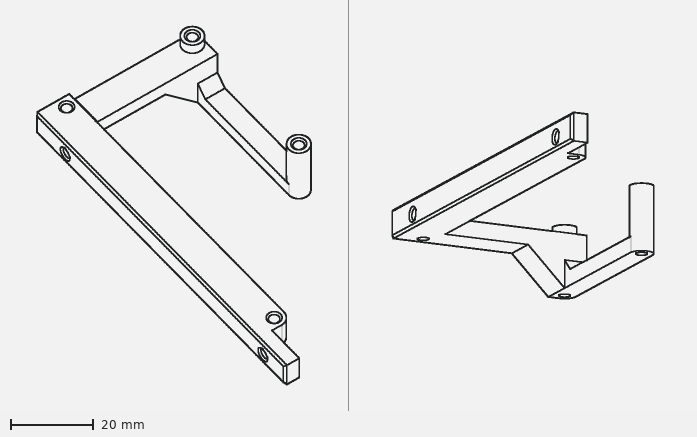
import cadquery as cq

length = 101.0
depth = 48.2
height = 17.0

boss_diameter = 6.0
boss_radius = boss_diameter / 2
hole_diameter = 2.8
mouth_chamfer = 0.5
hole_row_spacing = 38.0
rear_hole_y = depth - boss_radius
front_hole_y = rear_hole_y - hole_row_spacing
left_hole_x = boss_radius
far_boss_x = 46.1
bar_end_hole_x = 87.0

bar_height = 7.2
bar_bottom = height - bar_height
bar_back = front_hole_y + boss_radius
bar_shoulder_x = bar_end_hole_x + boss_radius
tongue_back = 4.3
front_chamfer = 0.6
mount_hole_xs = (12.0, 92.0)
mount_hole_z = height - 4.0

side_arm_width = 9.2
side_arm_top = height - 3.0
ramp_size = 1.7
low_arm_height = 4.0
gusset_leg = 3.0


def upright_cylinder(x, y, diameter, bottom, top):
    return cq.Workplane("XY", origin=(x, y, bottom)).circle(diameter / 2).extrude(top - bottom)


def make_bar():
    """Long bar with a rounded shoulder, a thin tongue and a chamfered front face."""
    bar = (
        cq.Workplane("XY", origin=(0, 0, bar_bottom))
        .moveTo(0, 0)
        .lineTo(length, 0)
        .lineTo(length, tongue_back)
        .lineTo(bar_shoulder_x, tongue_back)
        .lineTo(bar_shoulder_x, front_hole_y)
        .radiusArc((bar_end_hole_x, bar_back), -boss_radius)
        .lineTo(0, bar_back)
        .close()
        .extrude(bar_height)
    )
    return bar.faces("<Y").chamfer(front_chamfer)


def make_side_arm():
    """Arm along Y, ramped up to the bar and down to a deep rear foot."""
    foot_front = depth - boss_diameter
    profile = [
        (front_chamfer, bar_bottom),
        (foot_front - bar_bottom, bar_bottom),
        (foot_front, 0),
        (depth, 0),
        (depth, side_arm_top),
        (bar_back + ramp_size, side_arm_top),
        (bar_back, side_arm_top + ramp_size),
        (front_chamfer, side_arm_top + ramp_size),
    ]
    arm = cq.Workplane("YZ").polyline(profile).close().extrude(side_arm_width)
    return arm.edges("|Z and >Y and <X").fillet(boss_radius)


def make_low_arm():
    """Arm along X at the bottom, with a 45 degree gusset at the side arm."""
    profile = [
        (left_hole_x, 0),
        (far_boss_x, 0),
        (far_boss_x, low_arm_height),
        (side_arm_width + gusset_leg, low_arm_height),
        (side_arm_width, low_arm_height + gusset_leg),
        (left_hole_x, low_arm_height + gusset_leg),
    ]
    plane = cq.Workplane("XZ", origin=(0, depth, 0))
    return plane.polyline(profile).close().extrude(boss_diameter)


def screw_hole(start, direction, reach):
    """Through hole with a 45 degree countersink at its start."""
    plane = cq.Plane(origin=start, xDir=(1, 0, 0), normal=direction)
    bore = cq.Workplane(plane).circle(hole_diameter / 2).extrude(reach)
    mouth = (
        cq.Workplane(plane)
        .circle(hole_diameter / 2 + mouth_chamfer)
        .workplane(offset=mouth_chamfer)
        .circle(hole_diameter / 2)
        .loft()
    )
    return bore.union(mouth)


result = make_bar().union(make_side_arm()).union(make_low_arm())

for boss_x in (left_hole_x, far_boss_x):
    result = result.union(upright_cylinder(boss_x, rear_hole_y, boss_diameter, 0, height))

vertical_holes = [
    (left_hole_x, rear_hole_y),
    (far_boss_x, rear_hole_y),
    (left_hole_x, front_hole_y),
    (bar_end_hole_x, front_hole_y),
]
for x, y in vertical_holes:
    result = result.cut(screw_hole((x, y, height), (0, 0, -1), height))

for x in mount_hole_xs:
    result = result.cut(screw_hole((x, 0, mount_hole_z), (0, 1, 0), bar_back))